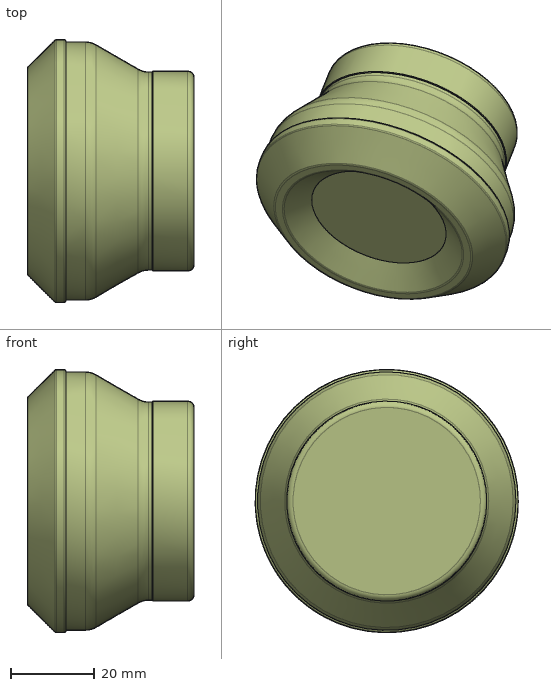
import cadquery as cq
import math

total_length = 40.0

cap_radius = 31.6
cap_length = 9.3
cone_length = 6.75
rim_outer_radius = 24.9
rim_inner_radius = 22.6
recess_floor_radius = 16.9
recess_depth = 4.7
rim_fillet = 0.65
shoulder_fillet = 0.5
back_fillet = 0.6

body_radius = 62.0 / 2
neck_radius = 47.6 / 2
stem_radius = 48.0 / 2
body_end = 13.9
bend_radius = 5.05
flank_angle = math.radians(30)
stem_start = 30.1
stem_step = stem_radius - neck_radius
stem_fillet = 1.5


def revolve_about_x(profile):
    return profile.close().revolve(360, (0, 0, 0), (1, 0, 0))


def make_cap():
    """Disc with a conical flank and a dished front, flat at the back."""
    cap = revolve_about_x(
        cq.Workplane("XY")
        .moveTo(0, rim_inner_radius)
        .lineTo(0, rim_outer_radius)
        .lineTo(cone_length, cap_radius)
        .lineTo(cap_length, cap_radius)
        .lineTo(cap_length, 0)
        .lineTo(recess_depth, 0)
        .lineTo(recess_depth, recess_floor_radius)
    )
    shoulder_point = (cone_length, 0, 0)
    cap = cap.faces("<X").edges().fillet(rim_fillet)
    cap = cap.edges(cq.selectors.NearestToPointSelector(shoulder_point)).fillet(shoulder_fillet)
    return cap.faces(">X").edges().fillet(back_fillet)


def make_base():
    """Round body, flat against the cap, that curves down to a neck and a stem."""
    bend_run = bend_radius * math.sin(flank_angle)
    bend_drop = bend_radius * (1 - math.cos(flank_angle))
    half_run = bend_radius * math.sin(flank_angle / 2)
    half_drop = bend_radius * (1 - math.cos(flank_angle / 2))
    flank_start = body_end + bend_run
    flank_drop = body_radius - neck_radius - 2 * bend_drop
    flank_end = flank_start + flank_drop / math.tan(flank_angle)
    neck_start = flank_end + bend_run
    base = revolve_about_x(
        cq.Workplane("XY")
        .moveTo(cap_length, 0)
        .lineTo(cap_length, body_radius)
        .lineTo(body_end, body_radius)
        .threePointArc(
            (body_end + half_run, body_radius - half_drop),
            (flank_start, body_radius - bend_drop),
        )
        .lineTo(flank_end, neck_radius + bend_drop)
        .threePointArc((neck_start - half_run, neck_radius + half_drop), (neck_start, neck_radius))
        .lineTo(stem_start - stem_step, neck_radius)
        .lineTo(stem_start, stem_radius)
        .lineTo(total_length, stem_radius)
        .lineTo(total_length, 0)
    )
    return base.faces(">X").edges().fillet(stem_fillet)


cap = make_cap()
base = make_base()

result = cq.Compound.makeCompound([cap.val(), base.val()])